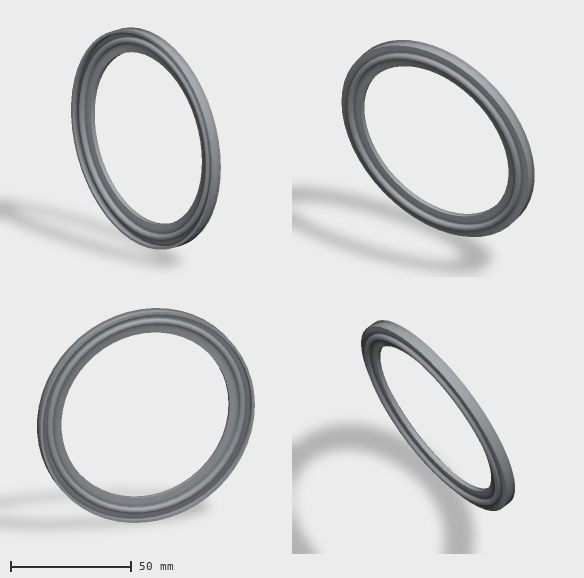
import cadquery as cq

outer_radius = 93.2 / 2
rim_inner_radius = 91.0 / 2
bore_radius = 73.1 / 2
bead_outer_radius = 85.9 / 2
bead_inner_radius = 81.1 / 2

total_depth = 6.4
bead_height = 2.0
web_thickness = 2.0
root_fillet = 0.4

rim_depth = total_depth - bead_height
front_y = -total_depth / 2
web_back_y = front_y + rim_depth
web_front_y = web_back_y - web_thickness

bead_center_radius = (bead_outer_radius + bead_inner_radius) / 2
bead_crown_radius = (bead_outer_radius - bead_inner_radius) / 2
bead_side_height = bead_height - bead_crown_radius


def revolve_about_y(profile):
    return profile.close().revolve(360, (0, 0, 0), (0, 1, 0))


def ring(inner_radius, ring_outer_radius, start_y, end_y):
    """Plain ring of rectangular section."""
    profile = (
        cq.Workplane("XY")
        .moveTo(inner_radius, start_y)
        .lineTo(ring_outer_radius, start_y)
        .lineTo(ring_outer_radius, end_y)
        .lineTo(inner_radius, end_y)
    )
    return revolve_about_y(profile)


def bead(base_y, direction):
    """Round-topped ring with filleted roots, rising from the web along +Y (1) or -Y (-1)."""
    buried_y = base_y - direction * web_thickness / 2
    fillet_top_y = base_y + direction * root_fillet
    side_top_y = base_y + direction * bead_side_height
    crown_y = base_y + direction * bead_height
    fillet_mid_offset = root_fillet * (1 - 0.5 ** 0.5)
    fillet_mid_y = base_y + direction * fillet_mid_offset
    root_inner_radius = bead_inner_radius - root_fillet
    root_outer_radius = bead_outer_radius + root_fillet

    profile = (
        cq.Workplane("XY")
        .moveTo(root_inner_radius, buried_y)
        .lineTo(root_inner_radius, base_y)
        .threePointArc(
            (bead_inner_radius - fillet_mid_offset, fillet_mid_y),
            (bead_inner_radius, fillet_top_y),
        )
        .lineTo(bead_inner_radius, side_top_y)
        .threePointArc((bead_center_radius, crown_y), (bead_outer_radius, side_top_y))
        .lineTo(bead_outer_radius, fillet_top_y)
        .threePointArc(
            (bead_outer_radius + fillet_mid_offset, fillet_mid_y),
            (root_outer_radius, base_y),
        )
        .lineTo(root_outer_radius, buried_y)
    )
    return revolve_about_y(profile)


rim = ring(rim_inner_radius, outer_radius, front_y, web_back_y)
web = ring(bore_radius, rim_inner_radius, web_front_y, web_back_y)

result = rim.union(web)
result = result.union(bead(web_back_y, 1))
result = result.union(bead(web_front_y, -1))